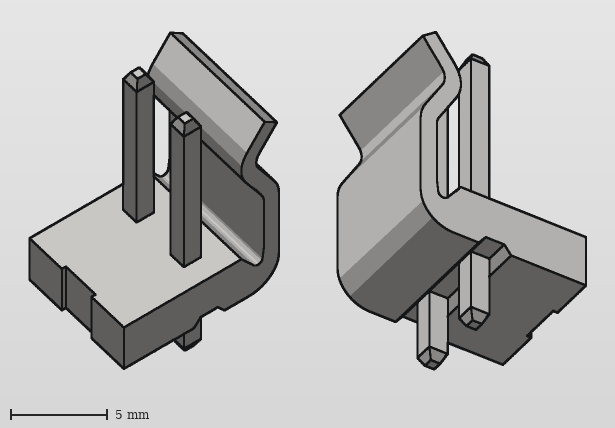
import cadquery as cq
import math

width = 7.93
pin_count = 2
pin_pitch = width / pin_count
depth = 10.2
base_height = 3.18
notch_width = 2.48
notch_depth = 0.26

groove_depth = 0.55
groove_mouth = 2.0

pin_side = 1.14
pin_y = 5.62
pin_length = 17.5
pin_bottom = -3.7
tip_side = 0.58
tip_length = 0.58

latch_thickness = 1.0
heel_radius = 2.0
bend_inner_radius = 1.0
bend_outer_radius = bend_inner_radius + latch_thickness
knee_inner_radius = 1.0
knee_outer_radius = knee_inner_radius + latch_thickness
knee_center = (9.71, 9.95)
lean_in = math.radians(31.5)
lean_out = math.radians(36)
tip_straight = 1.98

relief_start_z = 3.08
relief_radius = 0.32
relief_center = (8.8, 2.35)
ramp_top_y = 7.74


def polar(center, radius, angle):
    """Point at an angle measured from the -Y direction toward +Z."""
    return (center[0] - radius * math.cos(angle), center[1] + radius * math.sin(angle))


def tangent_point(point, center, radius, side):
    """Where a line from an outside point touches a circle; side +1 or -1 picks the line."""
    toward_point = math.atan2(point[1] - center[1], point[0] - center[0])
    angle = toward_point + side * math.acos(radius / math.dist(point, center))
    return (center[0] + radius * math.cos(angle), center[1] + radius * math.sin(angle))


def make_body():
    latch_face_y = depth - latch_thickness
    bend_y = depth - bend_outer_radius
    center_gap = knee_outer_radius + bend_inner_radius
    bend_z = knee_center[1] - (
        center_gap + (bend_y - knee_center[0]) * math.cos(lean_in)
    ) / math.sin(lean_in)
    bend_center = (bend_y, bend_z)

    def bend_point(radius, angle):
        return polar(bend_center, -radius, -angle)

    def latch_end(radius):
        start = polar(knee_center, radius, lean_out)
        return (
            start[0] + tip_straight * math.sin(lean_out),
            start[1] + tip_straight * math.cos(lean_out),
        )

    heel_center = (depth - heel_radius, heel_radius)
    groove_near_y = pin_y - groove_mouth / 2
    groove_far_y = pin_y + groove_mouth / 2

    ramp_top = (ramp_top_y, base_height)
    relief_start = (latch_face_y, relief_start_z)

    profile = (
        cq.Workplane("YZ", origin=(-width / 2, 0, 0))
        .moveTo(0, 0)
        .lineTo(0, base_height)
        .lineTo(*ramp_top)
        .lineTo(*tangent_point(ramp_top, relief_center, relief_radius, 1))
        .threePointArc(
            (relief_center[0], relief_center[1] - relief_radius),
            tangent_point(relief_start, relief_center, relief_radius, -1),
        )
        .lineTo(*relief_start)
        .lineTo(latch_face_y, bend_z)
        .threePointArc(
            bend_point(bend_inner_radius, lean_in / 2), bend_point(bend_inner_radius, lean_in)
        )
        .lineTo(*polar(knee_center, knee_outer_radius, -lean_in))
        .threePointArc(
            polar(knee_center, knee_outer_radius, 0),
            polar(knee_center, knee_outer_radius, lean_out),
        )
        .lineTo(*latch_end(knee_outer_radius))
        .lineTo(*latch_end(knee_inner_radius))
        .lineTo(*polar(knee_center, knee_inner_radius, lean_out))
        .threePointArc(
            polar(knee_center, knee_inner_radius, 0),
            polar(knee_center, knee_inner_radius, -lean_in),
        )
        .lineTo(*bend_point(bend_outer_radius, lean_in))
        .threePointArc(bend_point(bend_outer_radius, lean_in / 2), (depth, bend_z))
        .lineTo(depth, heel_radius)
        .threePointArc(
            polar(heel_center, -heel_radius, math.radians(45)), (depth - heel_radius, 0)
        )
        .lineTo(groove_far_y, 0)
        .lineTo(pin_y + pin_side / 2, groove_depth)
        .lineTo(pin_y - pin_side / 2, groove_depth)
        .lineTo(groove_near_y, 0)
        .close()
    )
    return profile.extrude(width)


def make_notch():
    return cq.Workplane("XY").box(
        notch_width, 2 * notch_depth, base_height, centered=(True, True, False)
    )


def make_pin(x):
    tip_start = pin_length - tip_length
    shank = (
        cq.Workplane("XY", origin=(x, pin_y, pin_bottom + tip_length))
        .rect(pin_side, pin_side)
        .extrude(tip_start - tip_length)
    )

    def taper(base_z, direction):
        return (
            cq.Workplane("XY", origin=(x, pin_y, base_z))
            .rect(pin_side, pin_side)
            .workplane(offset=direction * tip_length)
            .rect(tip_side, tip_side)
            .loft(ruled=True)
        )

    top_tip = taper(pin_bottom + tip_start, 1)
    bottom_tip = taper(pin_bottom + tip_length, -1)
    return shank.union(top_tip).union(bottom_tip)


result = make_body().cut(make_notch())
for index in range(pin_count):
    result = result.union(make_pin((index - (pin_count - 1) / 2) * pin_pitch))